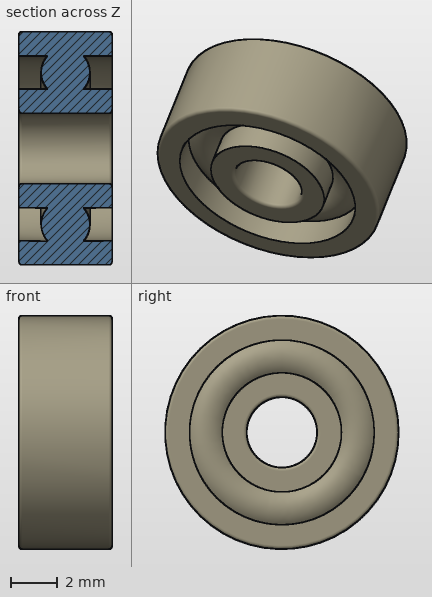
import cadquery as cq

width = 4.0
outer_diameter = 10.0
bore_diameter = 3.0
edge_radius = 0.15

inner_ring_diameter = 5.1
outer_ring_inner_diameter = 7.9

pitch_radius = (inner_ring_diameter + outer_ring_inner_diameter) / 4
torus_radius = 1.05


def ring(inside_diameter, outside_diameter):
    """Plain ring centred on the origin with its axis along X."""
    return (
        cq.Workplane("YZ")
        .workplane(offset=-width / 2)
        .circle(outside_diameter / 2)
        .circle(inside_diameter / 2)
        .extrude(width)
    )


inner_ring = ring(bore_diameter, inner_ring_diameter)
inner_ring = inner_ring.edges(cq.selectors.RadiusNthSelector(0)).fillet(edge_radius)

outer_ring = ring(outer_ring_inner_diameter, outer_diameter)
outer_ring = outer_ring.edges(cq.selectors.RadiusNthSelector(-1)).fillet(edge_radius)

rolling_torus = cq.Workplane(
    cq.Solid.makeTorus(pitch_radius, torus_radius, cq.Vector(0, 0, 0), cq.Vector(1, 0, 0))
)

result = inner_ring.union(outer_ring).union(rolling_torus)